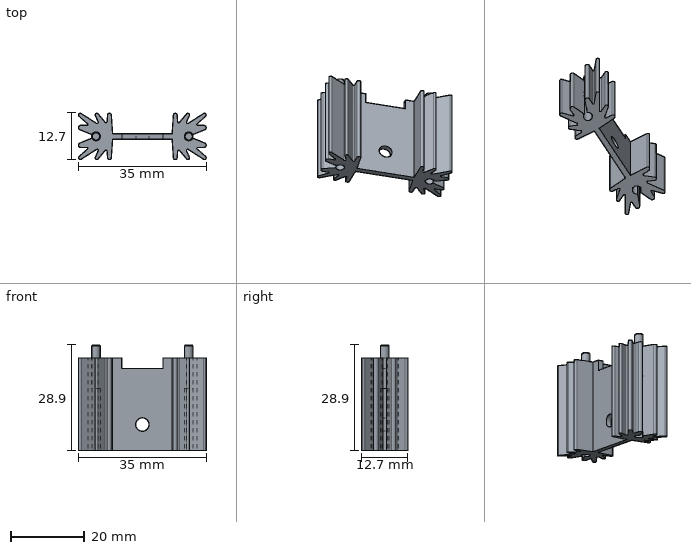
import cadquery as cq
import math


body_length = 35.0
body_width = 12.7
body_height = 25.4
half_length = body_length / 2
half_width = body_width / 2

web_thickness = 1.57
web_half_length = 8.12
notch_length = 11.2
notch_depth = 2.9
mount_hole_diameter = 3.6
mount_hole_height = 7.15

pin_spacing = 25.4
pin_diameter = 2.4
pin_length = 11.9
pin_protrusion = 3.5
pin_chamfer = 0.22
pin_x = pin_spacing / 2

inner_fin_radius = 0.55
middle_fin_radius = 0.47
corner_fin_radius = 0.5
end_fin_radius = 0.66

inner_fin_x = 9.01
middle_fin_x = 12.47
end_fin_y = 2.4

quarter_rounds = [
    (web_half_length, web_thickness / 2, 0.0),
    (inner_fin_x, half_width - inner_fin_radius, inner_fin_radius),
    (9.97, 4.06, -0.28),
    (middle_fin_x, half_width - middle_fin_radius, middle_fin_radius),
    (12.39, 3.84, -0.3),
    (half_length - corner_fin_radius, half_width - corner_fin_radius, corner_fin_radius),
    (15.16, 3.27, -0.21),
    (half_length - end_fin_radius, end_fin_y, end_fin_radius),
    (pin_x, 0.0, 0.0),
]


def tangent_line(first, second):
    """End points of the straight flank that leaves one round and meets the next one tangentially.

    Fin tips turn clockwise and lie to the right of the flank; valleys lie to its left.
    """
    x1, y1, r1 = first
    x2, y2, r2 = second
    distance = math.hypot(x2 - x1, y2 - y1)
    heading = math.atan2(y2 - y1, x2 - x1) + math.asin((r2 - r1) / distance)
    normal_x = -math.sin(heading)
    normal_y = math.cos(heading)
    start = (x1 + r1 * normal_x, y1 + r1 * normal_y)
    end = (x2 + r2 * normal_x, y2 + r2 * normal_y)
    return start, end


def arc_middle(arc_round, start, end):
    """Point halfway along the arc of a round between two points on it."""
    x, y, radius = arc_round
    toward_x = (start[0] + end[0]) / 2 - x
    toward_y = (start[1] + end[1]) / 2 - y
    reach = abs(radius) / math.hypot(toward_x, toward_y)
    return x + toward_x * reach, y + toward_y * reach


def make_quarter():
    """One quarter of the extrusion: half of the web's length and thickness, and half a cluster."""
    flanks = [tangent_line(a, b) for a, b in zip(quarter_rounds, quarter_rounds[1:])]
    outline = cq.Workplane("XY").lineTo(0, web_thickness / 2).lineTo(*flanks[0][0])
    outline = outline.lineTo(*flanks[0][1])
    for arc_round, before, after in zip(quarter_rounds[1:], flanks, flanks[1:]):
        arc_start = before[1]
        arc_end = after[0]
        outline = outline.threePointArc(arc_middle(arc_round, arc_start, arc_end), arc_end)
        outline = outline.lineTo(*after[1])
    return outline.close().extrude(body_height)


def make_body():
    """Full extrusion, mirrored from the quarter about both centre planes."""
    quarter = make_quarter()
    half = quarter.union(quarter.mirror("XZ"))
    return half.union(half.mirror("YZ")).clean()


def make_notch():
    """Cutter for the rectangular notch in the top edge of the web."""
    return (
        cq.Workplane("XY")
        .workplane(offset=body_height - notch_depth)
        .rect(notch_length, body_width)
        .extrude(notch_depth)
    )


def make_mount_hole():
    """Cutter for the mounting hole through the web, along Y."""
    return (
        cq.Workplane("XZ")
        .center(0, mount_hole_height)
        .circle(mount_hole_diameter / 2)
        .extrude(half_width, both=True)
    )


def make_pin_bores():
    """Cutters for the two full-height bores that hold the pins."""
    return (
        cq.Workplane("XY")
        .pushPoints([(-pin_x, 0), (pin_x, 0)])
        .circle(pin_diameter / 2)
        .extrude(body_height)
    )


def make_pin(x):
    """Solder pin with a chamfered top end, standing proud of the body."""
    pin_bottom = body_height + pin_protrusion - pin_length
    return (
        cq.Workplane("XY", origin=(x, 0, pin_bottom))
        .circle(pin_diameter / 2)
        .extrude(pin_length)
        .faces(">Z")
        .chamfer(pin_chamfer)
    )


result = make_body().cut(make_notch()).cut(make_mount_hole()).cut(make_pin_bores())
for side in (-1, 1):
    result = result.union(make_pin(side * pin_x))